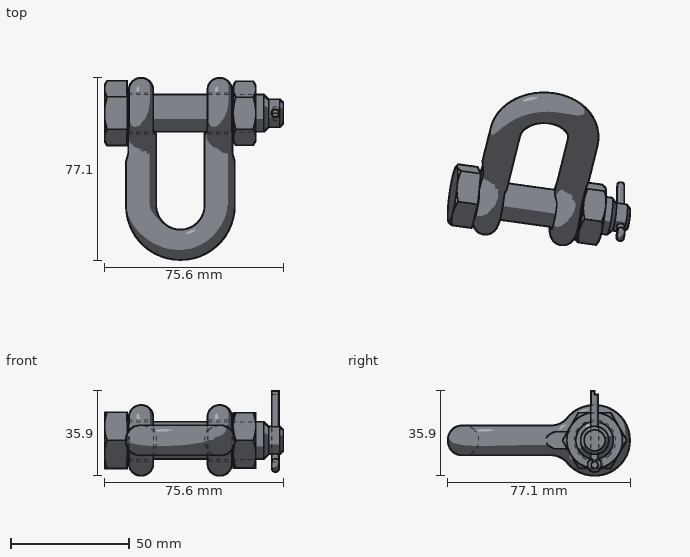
import cadquery as cq
import math


leg_offset = 16.6
bar_width = 12.9
bar_height = 12.7
bar_corner_radius = 6.1
bow_center_y = -39.0

eye_radius = 15.0
eye_tube_radius = 5.2
eye_hole_radius = 8.75
eye_blend_radius = 8.6

leg_flat_x = 22.05
leg_flat_end_y = -17.0
leg_ramp_end_y = -20.6

bolt_radius = 15.875 / 2
bolt_head_x = -32.05
head_thickness = 9.5
head_across_flats = 23.8
bolt_end_x = 43.51
bolt_shank_end_x = 35.3
bolt_nose_radius = 5.95
bolt_shoulder_length = bolt_radius - bolt_nose_radius
bolt_tip_chamfer = 1.5

nut_x = 22.35
nut_thickness = 9.5
nut_across_flats = 23.5
hex_chamfer_angle = 30.0

cotter_x = 40.15
cotter_radius = 1.55
cotter_hole_radius = 1.75
cotter_long_top_z = 20.88
cotter_short_top_z = 19.45
cotter_bottom_z = -13.4
cotter_loop_radius = 3.0



def x_cylinder(radius, x_start, length):
    """Cylinder on the bolt axis."""
    return cq.Workplane("YZ", origin=(x_start, 0, 0)).circle(radius).extrude(length)


def hexagon(across_flats, x_start, thickness, chamfer_start, chamfer_end):
    """Hexagonal prism on the bolt axis, flats facing +Z and -Z, corners chamfered to the flats' circle."""
    flat_radius = across_flats / 2
    corner_radius = flat_radius / math.cos(math.radians(30))
    chamfer_length = (corner_radius - flat_radius) * math.tan(math.radians(hex_chamfer_angle))
    x_end = x_start + thickness
    prism = (
        cq.Workplane("YZ", origin=(x_start, 0, 0))
        .polygon(6, 2 * corner_radius)
        .extrude(thickness)
    )
    outline = [(x_start, 0)]
    if chamfer_start:
        outline += [(x_start, flat_radius), (x_start + chamfer_length, corner_radius)]
    else:
        outline += [(x_start, corner_radius)]
    if chamfer_end:
        outline += [(x_end - chamfer_length, corner_radius), (x_end, flat_radius)]
    else:
        outline += [(x_end, corner_radius)]
    outline += [(x_end, 0)]
    envelope = cq.Workplane("XY").polyline(outline).close().revolve(360, (0, 0, 0), (1, 0, 0))
    return prism.intersect(envelope)




def bar_section(x):
    """Rounded bar section in the XZ plane where the bow begins."""
    sketch = cq.Sketch().rect(bar_width, bar_height).vertices().fillet(bar_corner_radius)
    return cq.Workplane("XZ", origin=(x, bow_center_y, 0)).placeSketch(sketch)


def make_bow():
    """Half turn joining the two legs."""
    return bar_section(-leg_offset).revolve(180, (leg_offset, 0, 0), (leg_offset, 1, 0))


def make_leg_with_eye(x):
    """Straight leg running into a ring-shaped eye, blended together and bored for the bolt."""
    ring_radius = eye_radius - eye_tube_radius
    leg = bar_section(x).extrude(bow_center_y)
    ring = cq.Workplane(cq.Solid.makeTorus(
        ring_radius, eye_tube_radius, cq.Vector(x, 0, 0), cq.Vector(1, 0, 0)))
    bore = x_cylinder(eye_hole_radius, x - bar_width, 2 * bar_width)
    meeting_edges = cq.selectors.BoxSelector(
        (x - eye_tube_radius, -eye_radius, -bar_height),
        (x + eye_tube_radius, -eye_hole_radius, bar_height),
    )
    arm = leg.union(ring).cut(bore).edges(meeting_edges).fillet(eye_blend_radius)
    return arm.cut(leg_relief(math.copysign(1, x)))


def leg_relief(side):
    """Material removed from the outer side of a leg: a flat followed by a ramp."""
    bar_outer_x = leg_offset + bar_width / 2
    beyond_x = bar_outer_x + bar_width
    return (
        cq.Workplane("XY", origin=(0, 0, -bar_height))
        .polyline([
            (side * leg_flat_x, 0),
            (side * leg_flat_x, leg_flat_end_y),
            (side * bar_outer_x, leg_ramp_end_y),
            (side * beyond_x, leg_ramp_end_y),
            (side * beyond_x, 0),
        ])
        .close()
        .extrude(2 * bar_height)
    )


def make_shackle():
    body = make_bow()
    for x in (-leg_offset, leg_offset):
        body = body.union(make_leg_with_eye(x))
    return body




def cotter_cylinder(radius, z_bottom, z_top):
    return cq.Workplane("XY", origin=(cotter_x, 0, z_bottom)).circle(radius).extrude(z_top - z_bottom)


def make_bolt():
    """Hex-headed bolt with a stepped nose and a cross hole for the cotter pin."""
    head = hexagon(head_across_flats, bolt_head_x, head_thickness, True, False)
    shank_start_x = bolt_head_x + head_thickness
    shank = (
        cq.Workplane("XY")
        .polyline([
            (shank_start_x, 0),
            (shank_start_x, bolt_radius),
            (bolt_shank_end_x, bolt_radius),
            (bolt_shank_end_x + bolt_shoulder_length, bolt_nose_radius),
            (bolt_end_x - bolt_tip_chamfer, bolt_nose_radius),
            (bolt_end_x, bolt_nose_radius - bolt_tip_chamfer),
            (bolt_end_x, 0),
        ])
        .close()
        .revolve(360, (0, 0, 0), (1, 0, 0))
    )
    return head.union(shank).cut(cotter_cylinder(cotter_hole_radius, -bolt_radius, bolt_radius))




def make_nut():
    nut = hexagon(nut_across_flats, nut_x, nut_thickness, True, True)
    return nut.cut(x_cylinder(bolt_radius, nut_x, nut_thickness))




def make_cotter_pin():
    """Two half-round prongs lying flat to flat, joined by a half-round loop below the bolt."""
    loop_z = cotter_bottom_z + cotter_loop_radius
    loop_inner_radius = cotter_loop_radius - cotter_radius
    prong_bottom_z = loop_z + loop_inner_radius
    prongs = cotter_cylinder(cotter_radius, prong_bottom_z, cotter_long_top_z)
    step = (
        cq.Workplane("XY", origin=(cotter_x, cotter_radius, cotter_short_top_z))
        .rect(2 * cotter_radius, 2 * cotter_radius)
        .extrude(cotter_long_top_z - cotter_short_top_z)
    )
    loop = (
        cq.Workplane("XZ", origin=(cotter_x, 0, loop_z))
        .moveTo(-cotter_radius, -loop_inner_radius)
        .threePointArc((0, -cotter_loop_radius), (cotter_radius, -loop_inner_radius))
        .close()
        .revolve(360, (0, 0, 0), (1, 0, 0))
    )
    return prongs.cut(step).union(loop)


shackle = make_shackle()
bolt = make_bolt()
nut = make_nut()
cotter_pin = make_cotter_pin()

bodies = [shackle, bolt, nut, cotter_pin]
result = cq.Compound.makeCompound([body.solids().val() for body in bodies])